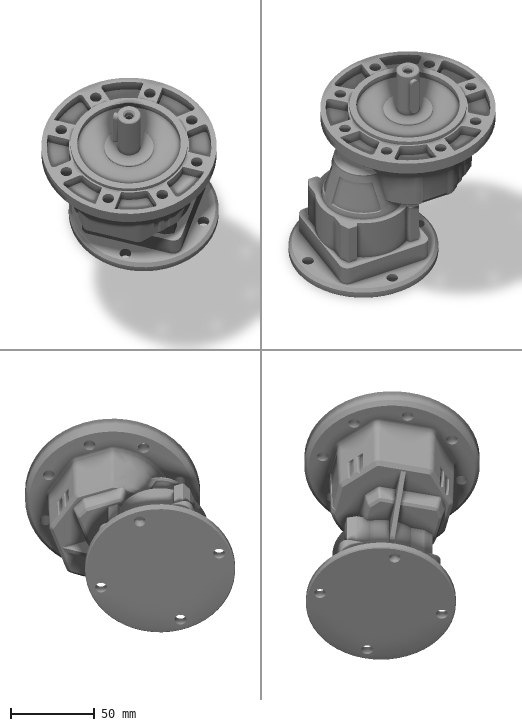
import cadquery as cq
import math

axis_offset = 30.0
total_height = 129.5

input_flange_diameter = 89.9
input_flange_thickness = 6.3
input_flange_top_chamfer = 2.0
input_flange_bottom_chamfer = 0.6
input_hole_diameter = 7.0
input_hole_circle_radius = 37.4
input_hole_count = 4

block_length = 62.2
block_width = 58.9
block_top = 18.8
block_corner_radius = 5.2

input_housing_radius = 29.0
input_housing_top = 45.3
lug_outer_x = 26.3
lug_outer_y = 26.2
lug_chamfer_x = 5.3
lug_chamfer_y = 2.5
lug_side_y = 18.0
lug_step = 2.0

cone_base_radius = 25.4
cone_top = 75.6
cone_angle = 15.0
cone_rim_bottom = 72.6
cone_narrowing = (cone_rim_bottom - input_housing_top) * math.tan(math.radians(cone_angle))
cone_rim_top = 73.5
cone_bevel_radius = 15.5
cone_bevel_top = 75.4
cone_flat_radius = 14.0
window_bottom = 48.8
window_top = 68.4
window_depth = 1.0
window_web_width = 9.1
window_bottom_reach = 0.5
window_top_reach = 3.9
window_corner_radius = 1.3

output_flange_diameter = 105.0
output_flange_bottom = 89.6
output_flange_top = 99.8
output_flange_chamfer = 2.5
spigot_diameter = 70.0
spigot_top = 102.3
recess_diameter = 62.0
recess_depth = 4.0
shaft_boss_diameter = 30.0
shaft_boss_height = 1.0
shaft_boss_chamfer = 0.4

output_hole_diameter = 7.0
output_hole_circle_radius = 42.5
output_hole_count = 8
pocket_inner_radius = 36.0
pocket_outer_radius = 49.3
pocket_depth = 7.0
axial_rib_width = 11.9
diagonal_rib_width = 12.7
pocket_corner_radius = 2.0

shaft_diameter = 14.0
shaft_chamfer = 0.5
key_width = 5.0
key_length = 25.0
key_top = 127.2
key_reach = 9.3
centre_mouth_diameter = 7.4
centre_relief_diameter = 5.3
centre_drill_diameter = 4.1
centre_mouth_depth = 1.2
centre_relief_depth = 4.0
centre_drill_depth = 12.5
centre_tip_angle = 120.0

housing_bottom = 52.3
housing_draft = 1.5
housing_half_width = 36.0
housing_front = 35.5
housing_back = 35.1
housing_side_front_y = 12.0
housing_side_back_y = 12.0
housing_front_half_width = 17.6
housing_corner_radius = 5.0
housing_bottom_chamfer = 2.3
housing_neck_fillet = 1.5
neck_margin = 0.6

slot_top = 68.1
slot_floor_start = (-29.4, -17.1)
slot_floor_run = (1.7, -3.0)
slot_pitch = (4.5, -5.6)
slot_count = 2
slot_side_draft = (2.3, 3.9)
slot_mouth_reach = 3.9
slot_corner_radius = 1.0

plate_depth = 0.5
plate_front_y = -8.5
plate_back_y = 8.3
plate_top = 84.7
plate_bevel_top = 55.8
plate_bevel_run = 2.1
plate_corner_radius = 1.0

case_bottom = 43.3
case_draft = 15.0
case_left = -18.4
case_right = 31.1
case_front = -16.2
case_side_front_y = -7.8
case_back = 18.1
case_left_corner_run = 6.6
case_right_corner_run = 4.7
case_corner_radius = 2.6
case_bottom_chamfer = 1.3

web_thickness = 3.0
web_low_z = 23.6
web_front_y = -31.1


def cylinder(diameter, bottom, top):
    return cq.Workplane("XY").workplane(offset=bottom).circle(diameter / 2).extrude(top - bottom)


def on_input_axis(body):
    return body.translate((0, axis_offset, 0))


def make_input_flange():
    flange = cylinder(input_flange_diameter, 0, input_flange_thickness)
    flange = flange.faces(">Z").chamfer(input_flange_top_chamfer)
    flange = flange.faces("<Z").chamfer(input_flange_bottom_chamfer)
    holes = (
        cq.Workplane("XY")
        .polarArray(input_hole_circle_radius, 0, 360, input_hole_count)
        .circle(input_hole_diameter / 2)
        .extrude(input_flange_thickness)
    )
    return flange.cut(holes)


def make_block():
    return (
        cq.Workplane("XY").workplane(offset=input_flange_thickness)
        .rect(block_length, block_width)
        .extrude(block_top - input_flange_thickness)
        .edges("|Z").fillet(block_corner_radius)
    )


def make_input_housing():
    housing = cylinder(2 * input_housing_radius, block_top, input_housing_top)
    lug = (
        cq.Workplane("XY").workplane(offset=block_top)
        .polyline([
            (0, 0),
            (0, lug_outer_y),
            (lug_outer_x - lug_chamfer_x, lug_outer_y),
            (lug_outer_x, lug_outer_y - lug_chamfer_y),
            (lug_outer_x, lug_side_y),
            (lug_outer_x - lug_step, lug_side_y - lug_step / 2),
        ])
        .close()
        .extrude(input_housing_top - block_top)
    )
    right_lugs = lug.union(lug.mirror("XZ"))
    return housing.union(right_lugs).union(right_lugs.mirror("YZ"))


def make_cone(base_radius):
    """Conical body up to the rim, narrowed by the cone angle on each side."""
    height = cone_rim_bottom - input_housing_top
    rim_radius = base_radius - cone_narrowing
    return cq.Workplane("XY").add(
        cq.Solid.makeCone(base_radius, rim_radius, height, cq.Vector(0, 0, input_housing_top))
    )


def make_cone_cap():
    """Short straight rim with a bevelled top that closes the cone."""
    rim_radius = cone_base_radius - cone_narrowing
    return (
        cq.Workplane("XZ")
        .polyline([
            (0, cone_rim_bottom),
            (rim_radius, cone_rim_bottom),
            (rim_radius, cone_rim_top),
            (cone_bevel_radius, cone_bevel_top),
            (cone_flat_radius, cone_top),
            (0, cone_top),
        ])
        .close()
        .revolve(360, (0, 0, 0), (0, 1, 0))
    )


def make_cover():
    cone = make_cone(cone_base_radius)
    skin = cone.cut(make_cone(cone_base_radius - window_depth))
    window = (
        cq.Workplane("YZ").workplane(offset=window_web_width / 2)
        .polyline([
            (window_bottom_reach, window_bottom),
            (window_top_reach, window_top),
            (cone_base_radius, window_top),
            (cone_base_radius, window_bottom),
        ])
        .close()
        .extrude(cone_base_radius)
        .edges("|X and <Y").fillet(window_corner_radius)
        .intersect(skin)
    )
    return cone.cut(window).cut(window.mirror("YZ")).union(make_cone_cap())


def make_pocket():
    """One flange pocket between the rib along +X and the diagonal rib at 45 degrees."""
    floor_z = output_flange_top - pocket_depth
    inner_core = cylinder(2 * pocket_inner_radius, floor_z, output_flange_top)
    ring = cylinder(2 * pocket_outer_radius, floor_z, output_flange_top).cut(inner_core)
    axial_edge = axial_rib_width / 2
    diagonal_shift = diagonal_rib_width / math.sqrt(2)
    reach = output_flange_diameter
    sector = (
        cq.Workplane("XY").workplane(offset=floor_z)
        .polyline([
            (axial_edge + diagonal_shift, axial_edge),
            (reach, axial_edge),
            (reach, reach - diagonal_shift),
        ])
        .close()
        .extrude(pocket_depth)
    )
    pocket = ring.intersect(sector)
    diagonal_face = pocket.faces(cq.selectors.DirectionMinMaxSelector(cq.Vector(-1, 1, 0), True))
    return diagonal_face.edges("|Z").fillet(pocket_corner_radius)


def make_output_flange_cuts():
    cuts = (
        cq.Workplane("XY").workplane(offset=output_flange_bottom)
        .polarArray(output_hole_circle_radius, 0, 360, output_hole_count)
        .circle(output_hole_diameter / 2)
        .extrude(output_flange_top - output_flange_bottom)
    )
    pocket = make_pocket()
    pocket_pair = pocket.union(pocket.mirror("XZ"))
    for quarter in range(4):
        cuts = cuts.union(pocket_pair.rotate((0, 0, 0), (0, 0, 1), 90 * quarter))
    recess_floor = spigot_top - recess_depth
    boss = cylinder(shaft_boss_diameter, recess_floor, recess_floor + shaft_boss_height)
    boss = boss.faces(">Z").chamfer(shaft_boss_chamfer)
    return cuts.union(cylinder(recess_diameter, recess_floor, spigot_top).cut(boss))


def make_output_flange():
    flange = cylinder(output_flange_diameter, output_flange_bottom, output_flange_top)
    flange = flange.faces("<Z").chamfer(output_flange_chamfer)
    return flange.union(cylinder(spigot_diameter, output_flange_top, spigot_top))


def make_slots():
    """Slots in the left slanted face: walls facing the front run along X, floors are vertical."""
    slots = []
    for index in range(slot_count):
        start_x = slot_floor_start[0] + index * slot_pitch[0]
        start_y = slot_floor_start[1] + index * slot_pitch[1]
        end_x = start_x + slot_floor_run[0]
        end_y = start_y + slot_floor_run[1]
        slot = (
            cq.Workplane("XY").workplane(offset=housing_bottom)
            .polyline([
                (start_x - slot_mouth_reach, start_y),
                (start_x, start_y),
                (end_x, end_y),
                (end_x - slot_side_draft[0], end_y - slot_side_draft[1]),
            ])
            .close()
            .extrude(slot_top - housing_bottom)
            .faces(">Z").edges("<Y or >Y").fillet(slot_corner_radius)
        )
        slots.append(slot)
    return slots


def make_plate_recess():
    draft = math.tan(math.radians(housing_draft))
    floor_top_x = -housing_half_width + (output_flange_bottom - plate_top) * draft + plate_depth
    floor_low_x = -housing_half_width + (output_flange_bottom - plate_bevel_top) * draft + plate_depth
    outside_x = -housing_half_width - plate_depth
    width = plate_back_y - plate_front_y
    profile = (
        cq.Workplane("XZ", origin=(0, plate_back_y, 0))
        .polyline([
            (outside_x, plate_top),
            (floor_top_x, plate_top),
            (floor_low_x, plate_bevel_top),
            (floor_low_x + plate_bevel_run, housing_bottom),
            (outside_x, housing_bottom),
        ])
        .close()
        .extrude(width)
    )
    return profile.edges("|X and >Z").fillet(plate_corner_radius)


def make_output_housing():
    prism = (
        cq.Workplane("XY").workplane(offset=output_flange_bottom)
        .moveTo(housing_half_width, housing_side_back_y)
        .threePointArc((0, housing_back), (-housing_half_width, housing_side_back_y))
        .lineTo(-housing_half_width, -housing_side_front_y)
        .lineTo(-housing_front_half_width, -housing_front)
        .lineTo(housing_front_half_width, -housing_front)
        .lineTo(housing_half_width, -housing_side_front_y)
        .close()
        .extrude(housing_bottom - output_flange_bottom)
    )
    outline = prism.edges("|Z").fillet(housing_corner_radius).faces(">Z").wires().toPending()
    housing = outline.extrude(housing_bottom - output_flange_bottom, combine=False, taper=housing_draft)
    return housing.faces("<Z").chamfer(housing_bottom_chamfer)


def make_gear_case():
    return (
        cq.Workplane("XY").workplane(offset=housing_bottom)
        .polyline([
            (case_left, case_back),
            (case_left, case_side_front_y),
            (case_left + case_left_corner_run, case_front),
            (case_right - case_right_corner_run, case_front),
            (case_right, case_side_front_y),
            (case_right, case_back),
        ])
        .close()
        .extrude(case_bottom - housing_bottom, taper=case_draft)
        .edges("not #Z").fillet(case_corner_radius)
        .faces("<Z").chamfer(case_bottom_chamfer)
    )


def make_web():
    return (
        cq.Workplane("YZ")
        .polyline([
            (axis_offset, web_low_z),
            (axis_offset - input_housing_radius, web_low_z),
            (web_front_y, housing_bottom),
            (axis_offset, housing_bottom),
        ])
        .close()
        .extrude(web_thickness / 2, both=True)
    )


def make_shaft():
    shaft = cylinder(shaft_diameter, output_flange_bottom, total_height)
    shaft = shaft.faces(">Z").chamfer(shaft_chamfer)
    key = (
        cq.Workplane("YZ")
        .center(0, key_top - key_length / 2)
        .slot2D(key_length, key_width, 90)
        .extrude(-key_reach)
    )
    return shaft.union(key)


def make_centre_hole():
    tip_height = centre_drill_diameter / 2 / math.tan(math.radians(centre_tip_angle / 2))
    return (
        cq.Workplane("XZ")
        .polyline([
            (0, total_height),
            (centre_mouth_diameter / 2, total_height),
            (centre_relief_diameter / 2, total_height - centre_mouth_depth),
            (centre_relief_diameter / 2, total_height - centre_relief_depth),
            (centre_drill_diameter / 2, total_height - centre_relief_depth),
            (centre_drill_diameter / 2, total_height - centre_drill_depth),
            (0, total_height - centre_drill_depth - tip_height),
        ])
        .close()
        .revolve(360, (0, 0, 0), (0, 1, 0))
    )


neck_reach = pocket_inner_radius + neck_margin
neck_box = cq.selectors.BoxSelector(
    (-neck_reach, -neck_reach, output_flange_bottom - neck_margin),
    (neck_reach, neck_reach, output_flange_bottom + neck_margin),
    boundingbox=True,
)
output_side = make_output_housing().union(make_output_flange())
output_side = output_side.edges(neck_box).fillet(housing_neck_fillet)
for slot in make_slots():
    output_side = output_side.cut(slot).cut(slot.mirror("YZ"))
output_side = output_side.cut(make_plate_recess())
output_side = output_side.cut(make_output_flange_cuts())
output_side = output_side.union(make_shaft()).cut(make_centre_hole())

input_side = make_input_flange().union(make_block()).union(make_input_housing()).union(make_cover())

result = output_side.union(on_input_axis(input_side)).union(make_gear_case()).union(make_web())